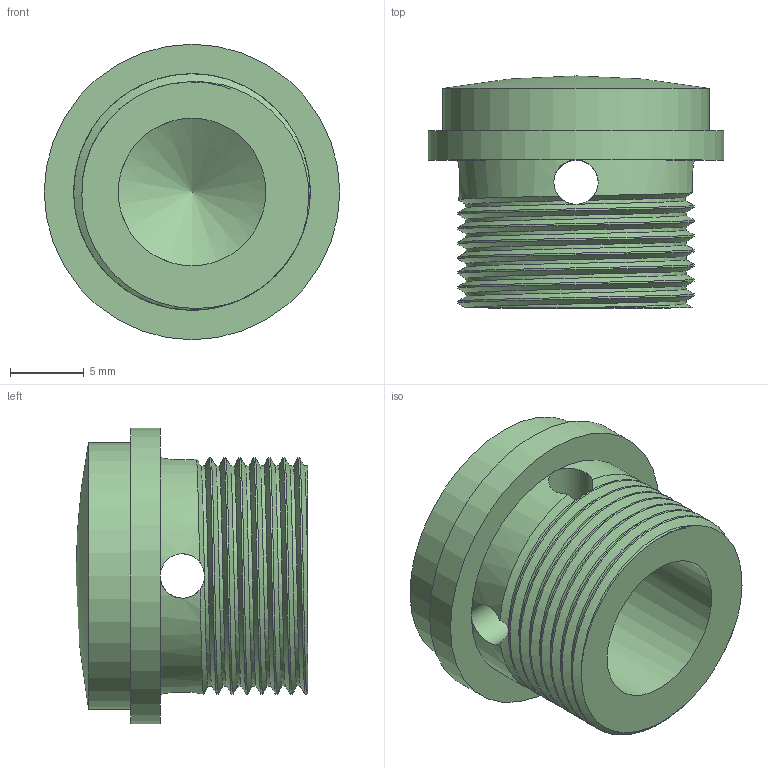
import cadquery as cq
import math


flange_diameter = 20.0
flange_thickness = 2.0
cap_diameter = 18.05
cap_height = 2.85
dome_rise = 0.85

shank_diameter = 16.0
shank_length = 10.0
bore_diameter = 10.0
bore_tip_angle = 118.0

cross_hole_diameter = 3.0
cross_hole_y = -cross_hole_diameter / 2
cross_hole_overrun = 1.0

thread_pitch = 1.0
sharp_thread_height = thread_pitch * math.sqrt(3) / 2
thread_depth = sharp_thread_height * 5 / 8
groove_root_width = thread_pitch / 4
flank_half_angle = math.radians(30)
cutter_overshoot = 0.05
groove_end_y = -2.37
groove_turns = 9


def make_body():
    """Revolve the solid head and shank about the Y axis."""
    flange_top = flange_thickness
    cap_top = flange_top + cap_height
    apex = cap_top + dome_rise
    cap_radius = cap_diameter / 2
    dome_radius = (cap_radius**2 + dome_rise**2) / (2 * dome_rise)
    dome_center = apex - dome_radius
    mid_angle = math.asin(cap_radius / dome_radius) / 2
    dome_middle = (
        dome_radius * math.sin(mid_angle),
        dome_center + dome_radius * math.cos(mid_angle),
    )
    return (
        cq.Workplane("ZY")
        .moveTo(0, -shank_length)
        .lineTo(shank_diameter / 2, -shank_length)
        .lineTo(shank_diameter / 2, 0)
        .lineTo(flange_diameter / 2, 0)
        .lineTo(flange_diameter / 2, flange_top)
        .lineTo(cap_radius, flange_top)
        .lineTo(cap_radius, cap_top)
        .threePointArc(dome_middle, (0, apex))
        .close()
        .revolve(360, (0, 0, 0), (0, 1, 0))
    )


def make_bore():
    """Blind bore from the free end to the flange seat, with a conical drill tip."""
    bore_radius = bore_diameter / 2
    tip_height = bore_radius / math.tan(math.radians(bore_tip_angle / 2))
    return (
        cq.Workplane("ZY")
        .moveTo(0, -shank_length)
        .lineTo(bore_radius, -shank_length)
        .lineTo(bore_radius, 0)
        .lineTo(0, tip_height)
        .close()
        .revolve(360, (0, 0, 0), (0, 1, 0))
    )


def make_cross_holes():
    """Two through holes at right angles, one along X and one along Z."""
    center = cq.Vector(0, cross_hole_y, 0)
    length = shank_diameter + 2 * cross_hole_overrun
    holes = cq.Workplane("XY")
    for direction in (cq.Vector(1, 0, 0), cq.Vector(0, 0, 1)):
        start = center - direction * (shank_diameter / 2 + cross_hole_overrun)
        hole = cq.Solid.makeCylinder(cross_hole_diameter / 2, length, start, direction)
        holes = holes.add(hole)
    return holes.combine()


def make_thread_groove():
    """Right-hand helical groove, built about Z and then turned onto the Y axis."""
    root_radius = shank_diameter / 2 - thread_depth
    outer_radius = shank_diameter / 2 + cutter_overshoot
    root_half_width = groove_root_width / 2
    outer_half_width = root_half_width + (outer_radius - root_radius) * math.tan(flank_half_angle)
    helix = cq.Wire.makeHelix(thread_pitch, groove_turns * thread_pitch, root_radius)
    groove = (
        cq.Workplane("XZ")
        .moveTo(root_radius, -root_half_width)
        .lineTo(outer_radius, -outer_half_width)
        .lineTo(outer_radius, outer_half_width)
        .lineTo(root_radius, root_half_width)
        .close()
        .sweep(cq.Workplane(obj=helix), isFrenet=True)
    )
    return (
        groove.rotate((0, 0, 0), (0, 0, 1), 90)
        .rotate((0, 0, 0), (1, 0, 0), -90)
        .translate((0, groove_end_y - groove_turns * thread_pitch, 0))
    )


result = make_body().cut(make_thread_groove()).cut(make_bore()).cut(make_cross_holes())